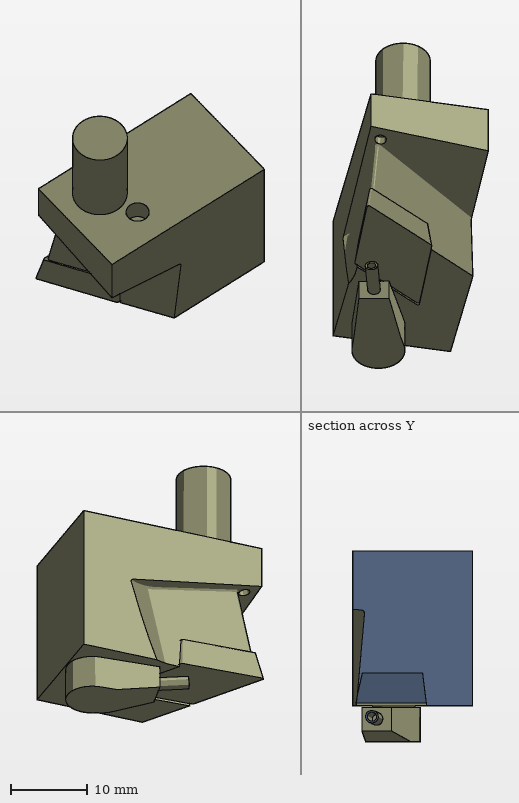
import cadquery as cq
import math


BLOCK_X, BLOCK_Y, BLOCK_Z = 15.73, 25.38, 20.33
SHANK_DIAMETER = 7.2
SHANK_LENGTH = 12.02
SHANK_X, SHANK_Y = 5.5, 5.97
DRILL_DIAMETER = 3.0
DRILL_POINT_ANGLE = 118
DRILL_DEPTH = 3.0
DRILL_X, DRILL_Y = 11.02, 7.95

INSERT_ANGLE = 55
INSERT_SIDE = 11.6
INSERT_THICKNESS = 3.97
INSERT_BOTTOM_Z = 0.35
INSERT_RELIEF = 7
INSERT_CORNER_RADIUS = 0.22
INSERT_TIP_X, INSERT_TIP_Y = -0.52, -0.3
FRONT_EDGE_ANGLE = 32
BISECTOR_ANGLE = FRONT_EDGE_ANGLE + INSERT_ANGLE / 2

NOSE_TILT = 11
NOSE_TOP = (1.15, 2.55, 14.02)
NOSE_RADIUS = 0.37
CEILING_FILLET = 0.37
LEFT_WALL_LENGTH = 11.65
RUNOUT_RADIUS = 6.68
RUNOUT_TURN = 60

OUTLET_DIAMETER = 1.5
OUTLET_DEPTH = 1.5
OUTLET_AHEAD = 0.4
OUTLET_SIDE = 0.8

CLEARANCE = 33.4

NOZZLE_X, NOZZLE_Y = 5.38, 21.9
NOZZLE_RADIUS = 3.5
NOZZLE_BOTTOM_Z = -4.75
DISC_DIAMETER = 5.65
DISC_THICKNESS = 0.22
NOZZLE_FRONT_LEFT = (1.2, 14.02)
NOZZLE_FRONT_RIGHT = (5.1, 13.2)
NOZZLE_FRONT_BOTTOM_Z = -3.3
RAMP_LENGTH = 5.85
TUBE_TIP = cq.Vector(2.0, 9.65, -1.2)
TUBE_ROOT = cq.Vector(3.1, 13.58, -1.7)
TUBE_DIAMETER = 1.67
TUBE_BORE = 1.1
TUBE_EMBED = 0.75


def polar(start, angle, distance):
    """Point at a distance from start, in the direction of an angle in degrees."""
    turn = math.radians(angle)
    return (start[0] + distance * math.cos(turn), start[1] + distance * math.sin(turn))


def make_insert():
    tip = (INSERT_TIP_X, INSERT_TIP_Y)
    left_edge_angle = FRONT_EDGE_ANGLE + INSERT_ANGLE
    right = polar(tip, FRONT_EDGE_ANGLE, INSERT_SIDE)
    back = polar(right, left_edge_angle, INSERT_SIDE)
    left = polar(tip, left_edge_angle, INSERT_SIDE)
    return (
        cq.Workplane("XY", origin=(0, 0, INSERT_BOTTOM_Z))
        .polyline([tip, right, back, left])
        .close()
        .extrude(INSERT_THICKNESS, taper=INSERT_RELIEF)
        .edges("not #Z")
        .fillet(INSERT_CORNER_RADIUS)
    )


def make_insert_pocket(insert):
    """Insert shape, kept open through the block's underside."""
    return insert.faces("<Z").wires().toPending().workplane().extrude(INSERT_BOTTOM_Z)


def ceiling_plane():
    """Plane of the ceiling, with its origin at the sharp tip of the nose and X along the nose."""
    bisector = math.radians(BISECTOR_ANGLE)
    tilt = math.radians(NOSE_TILT)
    return cq.Plane(
        origin=NOSE_TOP,
        xDir=(math.cos(bisector) * math.cos(tilt), math.sin(bisector) * math.cos(tilt), -math.sin(tilt)),
        normal=(math.cos(bisector) * math.sin(tilt), math.sin(bisector) * math.sin(tilt), math.cos(tilt)),
    )


def make_chip_space():
    """Tilted prism with a ceiling across its axis, outside the two walls of the nose."""
    plane = ceiling_plane()
    wall_angle = INSERT_ANGLE / 2
    wall_end = polar((0, 0), wall_angle, LEFT_WALL_LENGTH)
    arc_centre = polar(wall_end, wall_angle + 90, RUNOUT_RADIUS)
    arc_middle = polar(arc_centre, wall_angle - 90 + RUNOUT_TURN / 2, RUNOUT_RADIUS)
    arc_end = polar(arc_centre, wall_angle - 90 + RUNOUT_TURN, RUNOUT_RADIUS)
    return (
        cq.Workplane(plane)
        .moveTo(*polar((0, 0), -wall_angle, CLEARANCE))
        .lineTo(0, 0)
        .lineTo(*wall_end)
        .threePointArc(arc_middle, arc_end)
        .lineTo(-CLEARANCE, arc_end[1])
        .lineTo(-CLEARANCE, polar((0, 0), -wall_angle, CLEARANCE)[1])
        .close()
        .extrude(-CLEARANCE)
        .edges(cq.selectors.ParallelDirSelector(plane.zDir))
        .edges(cq.selectors.NearestToPointSelector(NOSE_TOP))
        .fillet(NOSE_RADIUS)
        .faces(">Z")
        .edges(cq.selectors.NearestToPointSelector(NOSE_TOP))
        .fillet(CEILING_FILLET)
    )


def make_outlet():
    return (
        cq.Workplane(ceiling_plane())
        .center(-OUTLET_AHEAD, -OUTLET_SIDE)
        .circle(OUTLET_DIAMETER / 2)
        .extrude(OUTLET_DEPTH)
    )


def tangent_point(point, side):
    """Where a line from point touches the nozzle's round end; side is -1 for left, 1 for right."""
    dx, dy = point[0] - NOZZLE_X, point[1] - NOZZLE_Y
    opening = math.degrees(math.acos(NOZZLE_RADIUS / math.hypot(dx, dy)))
    angle = math.degrees(math.atan2(dy, dx)) + side * opening
    return polar((NOZZLE_X, NOZZLE_Y), angle, NOZZLE_RADIUS)


def make_nozzle():
    disc = (
        cq.Workplane("XY", origin=(NOZZLE_X, NOZZLE_Y, 0))
        .circle(DISC_DIAMETER / 2)
        .extrude(-DISC_THICKNESS)
    )
    head = (
        cq.Workplane("XY", origin=(0, 0, NOZZLE_BOTTOM_Z))
        .moveTo(*NOZZLE_FRONT_LEFT)
        .lineTo(*NOZZLE_FRONT_RIGHT)
        .lineTo(*tangent_point(NOZZLE_FRONT_RIGHT, 1))
        .threePointArc((NOZZLE_X, NOZZLE_Y + NOZZLE_RADIUS), tangent_point(NOZZLE_FRONT_LEFT, -1))
        .close()
        .extrude(-DISC_THICKNESS - NOZZLE_BOTTOM_Z)
    )
    front_x = NOZZLE_FRONT_RIGHT[0] - NOZZLE_FRONT_LEFT[0]
    front_y = NOZZLE_FRONT_RIGHT[1] - NOZZLE_FRONT_LEFT[1]
    ramp_plane = cq.Plane(
        origin=(*NOZZLE_FRONT_LEFT, NOZZLE_BOTTOM_Z),
        xDir=(-front_y, front_x, 0),
        normal=(front_x, front_y, 0),
    )
    ramp = (
        cq.Workplane(ramp_plane)
        .polyline([(0, 0), (RAMP_LENGTH, 0), (0, NOZZLE_FRONT_BOTTOM_Z - NOZZLE_BOTTOM_Z)])
        .close()
        .extrude(CLEARANCE, both=True)
    )
    axis = TUBE_ROOT - TUBE_TIP
    tube_plane = cq.Plane(origin=TUBE_TIP, normal=axis)
    tube = cq.Workplane(tube_plane).circle(TUBE_DIAMETER / 2).extrude(axis.Length + TUBE_EMBED)
    bore = cq.Workplane(tube_plane).circle(TUBE_BORE / 2).extrude(axis.Length)
    return disc.union(head.cut(ramp)).union(tube).cut(bore)


def make_drilled_hole():
    radius = DRILL_DIAMETER / 2
    point_depth = radius / math.tan(math.radians(DRILL_POINT_ANGLE / 2))
    return (
        cq.Workplane("XZ", origin=(DRILL_X, DRILL_Y, BLOCK_Z))
        .polyline([(0, 0), (radius, 0), (radius, -DRILL_DEPTH), (0, -DRILL_DEPTH - point_depth)])
        .close()
        .revolve(360, (0, 0), (0, 1))
    )


def make_holder(insert):
    block = cq.Workplane("XY").box(BLOCK_X, BLOCK_Y, BLOCK_Z, centered=False)
    shank = (
        cq.Workplane("XY", origin=(SHANK_X, SHANK_Y, BLOCK_Z))
        .circle(SHANK_DIAMETER / 2)
        .extrude(SHANK_LENGTH)
    )
    block = block.cut(make_chip_space())
    block = block.cut(make_outlet())
    block = block.cut(make_insert_pocket(insert))
    block = block.cut(make_drilled_hole())
    return block.union(shank).union(make_nozzle())


insert = make_insert()
holder = make_holder(insert)

result = cq.Compound.makeCompound([holder.val(), insert.val()])